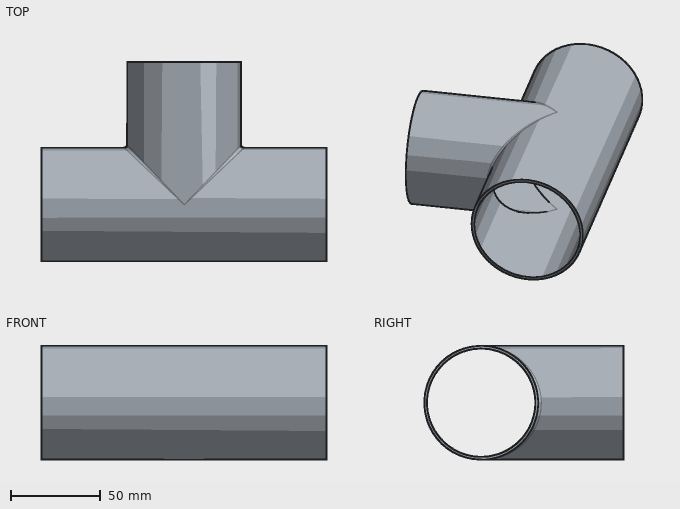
import cadquery as cq

outer_diameter = 63.5
inner_diameter = 60.2
run_length = 158.75
branch_length = run_length / 2
junction_fillet_radius = 1.5875


def crossed_cylinders(diameter):
    """Solid run and branch cylinders of one diameter, joined."""
    radius = diameter / 2
    run = cq.Workplane("YZ").circle(radius).extrude(run_length / 2, both=True)
    branch = cq.Workplane("XZ").circle(radius).extrude(-branch_length)
    return run.union(branch)


def filleted_outer_body():
    """Outer tee with the elliptical seams between run and branch rounded."""
    body = crossed_cylinders(outer_diameter)
    return body.edges("%ELLIPSE").fillet(junction_fillet_radius)


result = filleted_outer_body().cut(crossed_cylinders(inner_diameter))